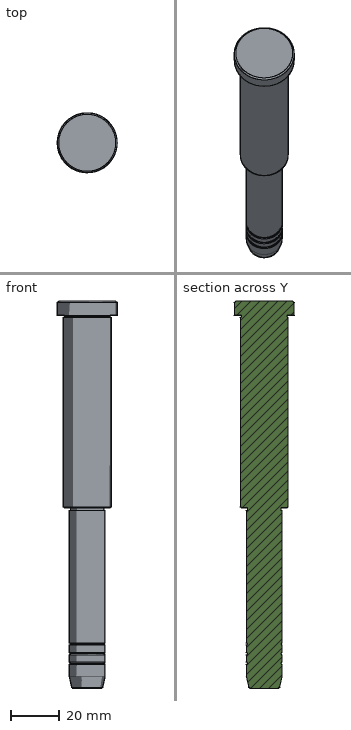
import cadquery as cq

total_length = 161.0

head_diameter = 25.0
head_height = 6.0
head_chamfer = 0.6

body_diameter = 20.0
body_length = 80.0
body_chamfer = 0.5

pin_diameter = 15.0
tip_height = 5.0
tip_end_diameter = 12.7
tip_chamfer = 0.5

head_neck_height = 0.5
body_neck_height = 1.0
neck_depth = 0.5

groove_count = 3
groove_width = 1.0
groove_depth = 0.5
lowest_groove_z = 10.5
groove_pitch = 4.0

head_bottom = total_length - head_height
body_bottom = head_bottom - body_length


def cylinder(diameter, bottom, top):
    """Round bar on the Z axis between two heights."""
    return cq.Workplane("XY").workplane(offset=bottom).circle(diameter / 2).extrude(top - bottom)


def ring_cut(diameter, depth, bottom, height):
    """Ring of material to remove from a bar of the given diameter."""
    core = cylinder(diameter - 2 * depth, bottom, bottom + height)
    return cylinder(diameter, bottom, bottom + height).cut(core)


def v_groove(center_z):
    """Triangle, point inward on the pin surface, revolved about the Z axis."""
    pin_radius = pin_diameter / 2
    outline = [
        (pin_radius, center_z - groove_width / 2),
        (pin_radius - groove_depth, center_z),
        (pin_radius, center_z + groove_width / 2),
    ]
    return cq.Workplane("XZ").polyline(outline).close().revolve(360, (0, 0, 0), (0, 1, 0))


def make_head():
    return cylinder(head_diameter, head_bottom, total_length).faces(">Z").edges().chamfer(head_chamfer)


def make_body():
    body_top = head_bottom - head_neck_height
    body = cylinder(body_diameter, body_bottom, body_top)
    body = body.faces("<Z or >Z").edges().chamfer(body_chamfer)
    return body.union(cylinder(body_diameter - 2 * neck_depth, body_top, head_bottom))


def make_pin():
    pin = cylinder(pin_diameter, tip_height, body_bottom)
    pin = pin.cut(ring_cut(pin_diameter, neck_depth, body_bottom - body_neck_height, body_neck_height))
    for index in range(groove_count):
        groove_z = lowest_groove_z + index * groove_pitch
        pin = pin.cut(v_groove(groove_z))
    return pin


def make_tip():
    tip = (
        cq.Workplane("XY")
        .circle(tip_end_diameter / 2)
        .workplane(offset=tip_height)
        .circle(pin_diameter / 2)
        .loft()
    )
    return tip.faces("<Z").edges().chamfer(tip_chamfer)


result = make_head().union(make_body()).union(make_pin()).union(make_tip())